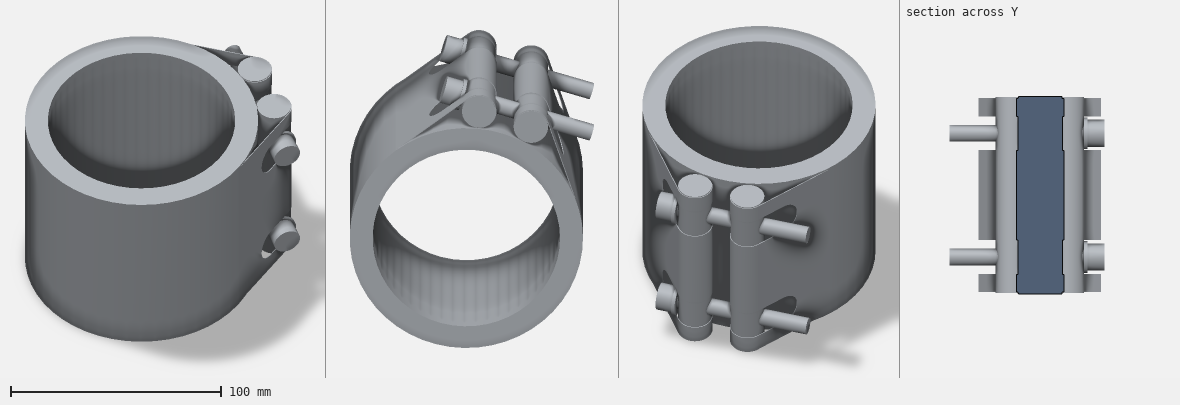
import cadquery as cq
import math

sleeve_outer_radius = 110.7 / 2
sleeve_inner_radius = 88.9 / 2
sleeve_height = 94.0

pin_radius = 16.0 / 2
pin_height = 93.0
pin_offset_x = 13.0

strap_thickness = 0.35
strap_height = 92.0
loop_radius = pin_radius + strap_thickness
contact_overlap = 0.02

bolt_spacing = 58.7
bolt_end_x = -43.0
shank_radius = 8.0 / 2
washer_radius = 15.0 / 2
washer_thickness = 1.6
head_radius = 13.0 / 2
head_height = 8.0
washer_seat_x = pin_offset_x + pin_radius

slot_width = 16.0
slot_end_y = 48.3

pin_distance = sleeve_outer_radius + loop_radius - contact_overlap
pin_y = math.sqrt(pin_distance**2 - pin_offset_x**2)

pin_angle = math.atan2(pin_y, pin_offset_x)
strap_normal_angle = pin_angle - math.acos((sleeve_outer_radius - loop_radius) / pin_distance)


def polar(radius, angle, center=(0, 0)):
    return (center[0] + radius * math.cos(angle), center[1] + radius * math.sin(angle))


def upright(outline, height):
    """Extrude an XY outline by height, centred on Z = 0."""
    return outline.extrude(height / 2, both=True)


def make_sleeve():
    outline = cq.Workplane("XY").circle(sleeve_outer_radius).circle(sleeve_inner_radius)
    return upright(outline, sleeve_height)


def make_pin():
    return upright(cq.Workplane("XY").center(pin_offset_x, pin_y).circle(pin_radius), pin_height)


def make_strap():
    """Strap on the +X side, from the sleeve over the pin and down to the sleeve again."""
    pin_center = (pin_offset_x, pin_y)
    contact_angle = pin_angle + math.pi
    middle_angle = (strap_normal_angle + contact_angle) / 2
    outline = (
        cq.Workplane("XY")
        .moveTo(*polar(sleeve_outer_radius, strap_normal_angle))
        .lineTo(*polar(loop_radius, strap_normal_angle, pin_center))
        .threePointArc(
            polar(loop_radius, middle_angle, pin_center),
            polar(loop_radius, contact_angle, pin_center),
        )
        .lineTo(*polar(pin_radius, contact_angle, pin_center))
        .threePointArc(
            polar(pin_radius, middle_angle, pin_center),
            polar(pin_radius, strap_normal_angle, pin_center),
        )
        .lineTo(*polar(sleeve_outer_radius - strap_thickness, strap_normal_angle))
        .close()
    )
    return upright(outline, strap_height)


def make_slot(bolt_z):
    """Slot cutter: its round end lies in the flat of the strap, its open end clears the loop."""
    slot_radius = slot_width / 2
    reach = 4 * loop_radius
    normal = polar(1, strap_normal_angle)
    up_strap = (-normal[1], normal[0])
    tangent_point = polar(sleeve_outer_radius, strap_normal_angle)
    slot_end = (slot_end_y - tangent_point[1]) / up_strap[1]
    start = slot_end + slot_radius
    plane = cq.Plane(origin=(*tangent_point, bolt_z), xDir=(*up_strap, 0), normal=(*normal, 0))
    round_end = cq.Workplane(plane).center(start, 0).circle(slot_radius)
    channel = cq.Workplane(plane).center(start + reach / 2, 0).rect(reach, slot_width)
    return round_end.extrude(reach, both=True).union(channel.extrude(reach, both=True))


def rod(radius, start_x, length, bolt_z):
    """Cylinder along +X at the height of the pins."""
    plane = cq.Plane(origin=(start_x, pin_y, bolt_z), xDir=(0, 1, 0), normal=(1, 0, 0))
    return cq.Workplane(plane).circle(radius).extrude(length)


def make_bolt(bolt_z):
    head_x = washer_seat_x + washer_thickness
    shank = rod(shank_radius, bolt_end_x, head_x - bolt_end_x, bolt_z)
    washer = rod(washer_radius, washer_seat_x, washer_thickness, bolt_z)
    head = rod(head_radius, head_x, head_height, bolt_z)
    return shank.union(washer).union(head)


bolt_heights = (-bolt_spacing / 2, bolt_spacing / 2)

strap = make_strap()
for z in bolt_heights:
    strap = strap.cut(make_slot(z))

clamp_side = strap.union(make_pin())
result = make_sleeve().union(clamp_side).union(clamp_side.mirror("YZ"))
for z in bolt_heights:
    result = result.union(make_bolt(z))